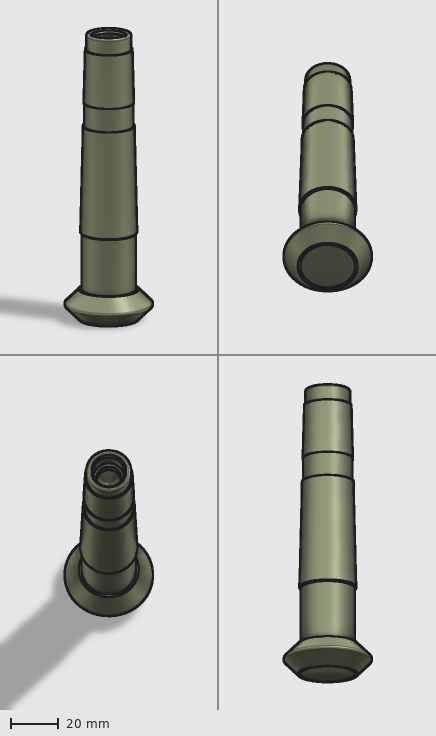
import cadquery as cq
import math

stud_length = 124.0
shank_radius = 23.0 / 2
neck_radius = 20.8 / 2
tip_radius = 19.0 / 2
tip_fillet = 1.0

lower_taper_bottom = 37.8
lower_taper_top = 83.8
upper_taper_bottom = 94.0
upper_taper_top = 117.0

lower_taper_wide_radius = 12.0
lower_taper_narrow_radius = 10.9
upper_taper_wide_radius = 10.7
upper_taper_narrow_radius = 10.0

socket_mouth_radius = 14.6 / 2
mouth_rounding = 0.7
socket_radius = 13.0 / 2
lead_in_depth = 1.9
socket_depth = 8.3
drill_radius = 10.3 / 2
drill_depth = 12.4
drill_point_angle = 118.0

collar_height = 12.9
collar_diameter = 37.2
rim_rounding = 1.05


def revolve_profile(profile):
    """Turn a closed (radius, height) outline about the Z axis."""
    return profile.close().revolve(360, (0, 0, 0), (0, 1, 0))


def make_stud_blank():
    shoulder_step = lower_taper_wide_radius - shank_radius
    outline = (
        cq.Workplane("XZ")
        .lineTo(shank_radius, 0)
        .lineTo(shank_radius, lower_taper_bottom - shoulder_step)
        .lineTo(lower_taper_wide_radius, lower_taper_bottom)
        .lineTo(lower_taper_narrow_radius, lower_taper_top)
        .lineTo(neck_radius, lower_taper_top)
        .lineTo(neck_radius, upper_taper_bottom)
        .lineTo(upper_taper_wide_radius, upper_taper_bottom)
        .lineTo(upper_taper_narrow_radius, upper_taper_top)
        .lineTo(tip_radius, upper_taper_top)
        .lineTo(tip_radius, stud_length)
        .lineTo(0, stud_length)
    )
    return revolve_profile(outline).faces(">Z").edges().fillet(tip_fillet)


def make_socket():
    lead_in_bottom = stud_length - lead_in_depth
    socket_floor = stud_length - socket_depth
    drill_shoulder = stud_length - drill_depth
    point_height = drill_radius / math.tan(math.radians(drill_point_angle / 2))
    flare = mouth_rounding * (1 - math.sqrt(0.5))
    outline = (
        cq.Workplane("XZ")
        .moveTo(0, stud_length)
        .lineTo(socket_mouth_radius + mouth_rounding, stud_length)
        .threePointArc(
            (socket_mouth_radius + flare, stud_length - flare),
            (socket_mouth_radius, stud_length - mouth_rounding),
        )
        .lineTo(socket_radius, lead_in_bottom)
        .lineTo(socket_radius, socket_floor)
        .lineTo(drill_radius, socket_floor)
        .lineTo(drill_radius, drill_shoulder)
        .lineTo(0, drill_shoulder - point_height)
    )
    return revolve_profile(outline)


def make_stud():
    return make_stud_blank().cut(make_socket())


def make_collar():
    middle = collar_height / 2
    rim_radius = collar_diameter / 2
    rim_center = rim_radius - rim_rounding
    tangent_offset = rim_rounding * math.sqrt(0.5)
    flank_start = rim_center + tangent_offset
    end_radius = flank_start + tangent_offset - middle
    outline = (
        cq.Workplane("XZ")
        .moveTo(shank_radius, 0)
        .lineTo(end_radius, 0)
        .lineTo(flank_start, middle - tangent_offset)
        .threePointArc((rim_radius, middle), (flank_start, middle + tangent_offset))
        .lineTo(end_radius, collar_height)
        .lineTo(shank_radius, collar_height)
    )
    return revolve_profile(outline)


stud = make_stud()
collar = make_collar()
result = cq.Compound.makeCompound([stud.val(), collar.val()])